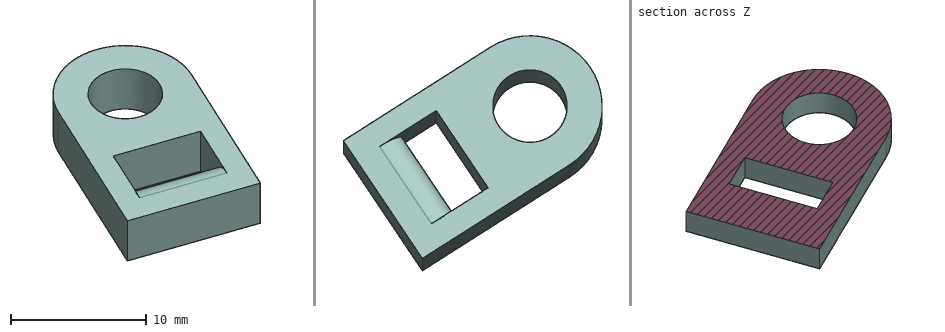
import cadquery as cq

length = 18.35
width = 10.7
thickness = 4.0
end_radius = width / 2
square_end_x = length - end_radius

hole_diameter = 5.5

window_length = 5.01
window_width = 7.01
end_wall = 2.0
window_end_x = square_end_x - end_wall

bar_radius = thickness / 2


def make_body():
    return (
        cq.Workplane("XY")
        .moveTo(0, -end_radius)
        .lineTo(square_end_x, -end_radius)
        .lineTo(square_end_x, end_radius)
        .lineTo(0, end_radius)
        .threePointArc((-end_radius, 0), (0, -end_radius))
        .close()
        .extrude(thickness)
    )


def make_hole():
    return cq.Workplane("XY").circle(hole_diameter / 2).extrude(thickness)


def make_window():
    return (
        cq.Workplane("XY")
        .center(window_end_x - window_length / 2, 0)
        .rect(window_length, window_width)
        .extrude(thickness)
    )


def make_half_round_bar():
    return (
        cq.Workplane("XZ")
        .moveTo(window_end_x, 0)
        .threePointArc((window_end_x - bar_radius, bar_radius), (window_end_x, thickness))
        .close()
        .extrude(window_width / 2, both=True)
    )


window_opening = make_window().cut(make_half_round_bar())
result = make_body().cut(make_hole()).cut(window_opening)